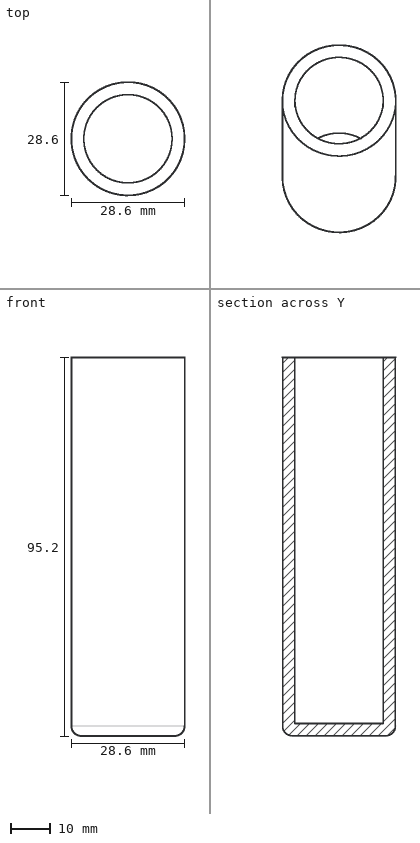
import cadquery as cq

outer_diameter = 28.575
wall_thickness = 3.175
floor_thickness = wall_thickness
height = 95.25
bottom_fillet_radius = 2.54

bore_diameter = outer_diameter - 2 * wall_thickness
bore_depth = height - floor_thickness


def tube_body():
    """Solid cylinder standing on Z = 0 with a rounded bottom edge."""
    body = cq.Workplane("XY").circle(outer_diameter / 2).extrude(height)
    return body.faces("<Z").edges().fillet(bottom_fillet_radius)


def blind_bore():
    """Cutter for the flat-bottomed bore, from the floor up to the open end."""
    bore = cq.Workplane("XY").workplane(offset=floor_thickness)
    return bore.circle(bore_diameter / 2).extrude(bore_depth)


result = tube_body().cut(blind_bore())